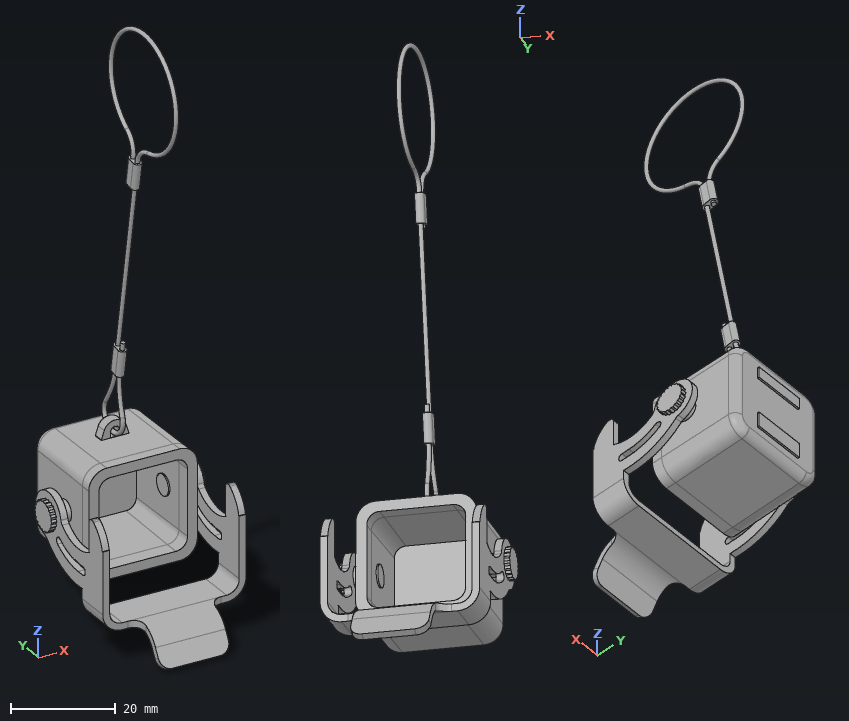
import cadquery as cq
import math


cap_side = 24.0
cap_corner = 3.9
cap_front = -8.9
cap_back = 12.5
rim_depth = 2.4
cap_draft = 0.5
cap_back_fillet = 1.9
mouth_side = 19.5
mouth_depth = 3.3
mouth_corner = 2.5
cavity_draft = 1.0
floor_thickness = 2.4
cap_top = cap_side / 2

bar_height = 0.4
bar_length = 11.4
bars = [(6.6, 2.8), (-6.2, 3.8)]

eye_y = 2.9
eye_thickness = 2.3
eye_foot = 3.0
eye_shoulder = 2.4
eye_shoulder_height = 1.9
eye_height = 3.5
eye_root = 0.6
eye_hole_radius = 1.0
eye_hole_height = 2.2

lever_width = 31.5
sheet = 1.5
bend_radius = 4.3
lever_bottom = -16.5
lever_front = -20.8
lever_ear_radius = 5.0
foot_back = -12.8
hook_back = -15.5
hook_top = 6.2
hook_tip_y = -17.0
hook_tip_fillet = 0.9
hook_nose = (-19.5, 3.8)
hook_shoulder = 0.1
arm_centre_y = -11.4
arm_centre_z = 7.0
arm_inner_radius = 9.1
arm_outer_radius = 17.1
arm_bottom = arm_centre_z - arm_outer_radius
foot_overlap = 3.8
arm_end_y = 2.5
arm_end_z = 1.3
ear_joints = [(-4.5, 1.1), (1.9, -3.8)]
joint_fillet = 1.5
slot_width = 1.8
slot_start_angle = 34
slot_straight = 1.8

tab_width = 15.5
tab_bend_radius = 7.1
tab_angle = 60
tab_straight = 4.7
tab_corner = 2.5
tab_flare = 2.5

pin_diameter = 4.5
head_radius = 3.3
flute_depth = 0.3
flute_count = 20
overall_width = 33.8
pin_reach = 0.4

cord_diameter = 1.0
cord_tilt = 9.9
cord_foot_y = 0.6
cord_foot_z = 32.5
strand_gap = 1.6
ferrule_length = 6.0
ferrule_width = 3.5
ferrule_depth = 1.9
lower_ferrule_s = -3.3
upper_ferrule_s = 39.7
upper_stub = 0.6
lower_stub = 1.6
ring_centre = (-9.0, 90.5)
ring_radius = 12.4
ring_exit_angles = (-60, -100)
loop_centre = (2.4, 16.2)
loop_radius = 3.5
loop_exit_angles = (33, 163)


def facing_back(y):
    """Plane across Y whose normal points to +Y."""
    return cq.Workplane(cq.Plane(origin=(0, y, 0), xDir=(1, 0, 0), normal=(0, 1, 0)))


def rounded_square(y, side, corner):
    sketch = cq.Sketch().rect(side, side).vertices().fillet(corner)
    return facing_back(y).placeSketch(sketch)


def make_cap():
    skirt_y = cap_front + rim_depth
    rim = rounded_square(cap_front, cap_side, cap_corner).extrude(rim_depth)
    skirt = rounded_square(skirt_y, cap_side, cap_corner).extrude(cap_back - skirt_y, taper=cap_draft)
    skirt = skirt.faces(">Y").edges().fillet(cap_back_fillet)
    mouth = rounded_square(cap_front, mouth_side, mouth_corner).extrude(mouth_depth)
    cavity_y = cap_front + mouth_depth
    cavity_depth = cap_back - floor_thickness - cavity_y
    cavity = rounded_square(cavity_y, mouth_side, mouth_corner).extrude(cavity_depth, taper=cavity_draft)
    cap = rim.union(skirt).cut(mouth).cut(cavity)
    for z, width in bars:
        bar = cq.Workplane().box(bar_length, 2 * bar_height, width).translate((0, cap_back, z))
        cap = cap.union(bar)
    return cap


def make_eye():
    eye_plane = cq.Workplane("XZ", origin=(0, eye_y + eye_thickness / 2, cap_top))
    plate = (
        eye_plane.moveTo(-eye_foot, -eye_root)
        .lineTo(-eye_foot, 0)
        .lineTo(-eye_shoulder, eye_shoulder_height)
        .threePointArc((0, eye_height), (eye_shoulder, eye_shoulder_height))
        .lineTo(eye_foot, 0)
        .lineTo(eye_foot, -eye_root)
        .close()
        .extrude(eye_thickness)
    )
    hole_shoulder = eye_hole_height - eye_hole_radius
    hole = (
        eye_plane.moveTo(-eye_hole_radius, 0)
        .lineTo(-eye_hole_radius, hole_shoulder)
        .threePointArc((0, eye_hole_height), (eye_hole_radius, hole_shoulder))
        .lineTo(eye_hole_radius, 0)
        .close()
        .extrude(eye_thickness)
    )
    return plate.cut(hole)


def across_x():
    """Sketch plane for side profiles that are extruded over the lever's full width."""
    return cq.Workplane("YZ", origin=(-lever_width / 2, 0, 0))


def arm_point(radius, angle):
    """Point (Y, Z) about the arm's centre; the angle runs from straight down towards +Y."""
    a = math.radians(angle)
    return (arm_centre_y + radius * math.sin(a), arm_centre_z - radius * math.cos(a))


def make_arm():
    """Part of a flat ring that joins the ear to the hook."""
    ring = across_x().center(arm_centre_y, arm_centre_z)
    ring = ring.circle(arm_outer_radius).circle(arm_inner_radius).extrude(lever_width)
    window = (
        across_x()
        .moveTo(lever_front, arm_bottom)
        .lineTo(arm_end_y, arm_bottom)
        .lineTo(arm_end_y, arm_end_z)
        .lineTo(lever_front, arm_end_z)
        .close()
        .extrude(lever_width)
    )
    return ring.intersect(window)


def make_hook():
    """Locking hook, with the foot below it that reaches down to the cross strip."""
    foot_top = arm_bottom + foot_overlap
    hook = (
        across_x()
        .moveTo(hook_back, foot_top)
        .lineTo(hook_back, hook_top)
        .lineTo(hook_tip_y, hook_top)
        .threePointArc(hook_nose, (lever_front, hook_shoulder))
        .lineTo(lever_front, lever_bottom)
        .lineTo(foot_back, lever_bottom)
        .lineTo(foot_back, foot_top)
        .close()
        .extrude(lever_width)
    )
    return hook.edges("|X and >Z").fillet(hook_tip_fillet)


def make_lever_side():
    ear = across_x().circle(lever_ear_radius).extrude(lever_width)
    side = ear.union(make_arm()).union(make_hook())
    for joint in ear_joints:
        corner = cq.selectors.NearestToPointSelector((0, *joint))
        side = side.edges(corner).fillet(joint_fillet)
    return side.cut(make_slot())


def make_slot():
    mid = (arm_inner_radius + arm_outer_radius) / 2
    inner = mid - slot_width / 2
    outer = mid + slot_width / 2
    a = slot_start_angle
    end_y = arm_centre_y - slot_straight
    tangent = math.radians(a)
    mid_start = arm_point(mid, a)
    start_cap = (
        mid_start[0] + slot_width / 2 * math.cos(tangent),
        mid_start[1] + slot_width / 2 * math.sin(tangent),
    )
    return (
        across_x()
        .moveTo(*arm_point(inner, a))
        .threePointArc(arm_point(inner, a / 2), arm_point(inner, 0))
        .lineTo(end_y, arm_centre_z - inner)
        .threePointArc((end_y - slot_width / 2, arm_centre_z - mid), (end_y, arm_centre_z - outer))
        .lineTo(*arm_point(outer, 0))
        .threePointArc(arm_point(outer, a / 2), arm_point(outer, a))
        .threePointArc(start_cap, arm_point(inner, a))
        .close()
        .extrude(lever_width)
    )


def channel_block(width, bottom, corner):
    """Block with rounded lower edges, as long and as high as the lever."""
    length = lever_ear_radius - lever_front
    height = hook_top - bottom
    centre = (0, lever_front + length / 2, bottom + height / 2)
    return cq.Workplane().box(width, length, height).translate(centre).edges("|Y and <Z").fillet(corner)


def make_channel():
    outside = channel_block(lever_width, lever_bottom, bend_radius)
    inside = channel_block(lever_width - 2 * sheet, lever_bottom + sheet, bend_radius - sheet)
    return outside.cut(inside)


def make_tab():
    """Sheet bent downwards, widening in a flare where it leaves the lever."""
    end_angle = math.radians(tab_angle)
    outer = tab_bend_radius
    inner = outer - sheet
    bend_z = lever_bottom - inner

    def bend(radius, angle):
        return (lever_front - radius * math.sin(angle), bend_z + radius * math.cos(angle))

    def tip(radius):
        y, z = bend(radius, end_angle)
        return (y - tab_straight * math.cos(end_angle), z - tab_straight * math.sin(end_angle))

    half = tab_width / 2
    root = half + tab_flare
    strip = (
        cq.Workplane("YZ", origin=(-root, 0, 0))
        .moveTo(*bend(outer, 0))
        .threePointArc(bend(outer, end_angle / 2), bend(outer, end_angle))
        .lineTo(*tip(outer))
        .lineTo(*tip(inner))
        .lineTo(*bend(inner, end_angle))
        .threePointArc(bend(inner, end_angle / 2), bend(inner, 0))
        .close()
        .extrude(2 * root)
    )
    tip_y = tip(inner)[0]
    tip_z = tip(inner)[1]
    front = tip(outer)[0]
    flare_end = lever_front - tab_flare
    sag = tab_flare * (1 - math.sqrt(0.5))
    plan = (
        cq.Workplane("XY", origin=(0, 0, tip_z))
        .moveTo(-root, lever_front)
        .threePointArc((-half - sag, lever_front - sag), (-half, flare_end))
        .lineTo(-half, front)
        .lineTo(half, front)
        .lineTo(half, flare_end)
        .threePointArc((half + sag, lever_front - sag), (root, lever_front))
        .close()
        .extrude(lever_bottom + sheet - tip_z)
    )
    tab = strip.intersect(plan)
    tip_middle = ((front + tip_y) / 2, (tip(outer)[1] + tip_z) / 2)
    for x in (-half, half):
        corner = cq.selectors.NearestToPointSelector((x, *tip_middle))
        tab = tab.edges(corner).fillet(tab_corner)
    return tab


def make_pin():
    """Pin on the +X side, from inside the cap wall to the fluted head."""
    start = mouth_side / 2 - pin_reach
    pin = cq.Workplane("YZ", origin=(start, 0, 0)).circle(pin_diameter / 2)
    pin = pin.extrude(lever_width / 2 - start)
    points = []
    for i in range(2 * flute_count):
        a = math.pi * i / flute_count
        r = head_radius - flute_depth * (i % 2)
        points.append((r * math.cos(a), r * math.sin(a)))
    head = cq.Workplane("YZ", origin=(lever_width / 2, 0, 0)).polyline(points).close()
    return pin.union(head.extrude((overall_width - lever_width) / 2))


def make_cover():
    lever = make_channel().intersect(make_lever_side()).union(make_tab())
    pin = make_pin()
    return make_cap().union(make_eye()).union(lever).union(pin).union(pin.mirror("YZ"))


def cord_point(s, side):
    """Point at distance s along the cord, moved sideways towards -Y."""
    a = math.radians(cord_tilt)
    y = cord_foot_y - s * math.sin(a) - side * math.cos(a)
    z = cord_foot_z + s * math.cos(a) - side * math.sin(a)
    return cq.Vector(0, y, z)


def circle_point(centre, radius, angle):
    a = math.radians(angle)
    return cq.Vector(0, centre[0] + radius * math.cos(a), centre[1] + radius * math.sin(a))


def circle_heading(angle):
    """Direction of travel for a growing angle."""
    a = math.radians(angle)
    return cq.Vector(0, -math.sin(a), math.cos(a))


def smooth_link(start, end, start_heading, end_heading):
    return cq.Edge.makeSpline([start, end], tangents=[start_heading, end_heading])


def make_wire(up):
    """One round wire: upper cut end, ring, long straight run, small loop, lower cut end."""
    half = ferrule_length / 2
    ring_start_angle, ring_end_angle = ring_exit_angles
    loop_start_angle, loop_end_angle = loop_exit_angles

    upper_cut_end = cord_point(upper_ferrule_s - half - upper_stub, -strand_gap)
    upper_left = cord_point(upper_ferrule_s + half, -strand_gap)
    upper_right = cord_point(upper_ferrule_s + half, 0)
    lower_left = cord_point(lower_ferrule_s - half, 0)
    lower_right = cord_point(lower_ferrule_s - half, strand_gap)
    lower_cut_end = cord_point(lower_ferrule_s + half + lower_stub, strand_gap)

    ring_start = circle_point(ring_centre, ring_radius, ring_start_angle)
    ring_top = circle_point(ring_centre, ring_radius, 90)
    ring_end = circle_point(ring_centre, ring_radius, ring_end_angle)
    loop_start = circle_point(loop_centre, loop_radius, loop_start_angle)
    loop_low = circle_point(loop_centre, loop_radius, -90)
    loop_end = circle_point(loop_centre, loop_radius, loop_end_angle)

    path = cq.Wire.assembleEdges([
        cq.Edge.makeLine(upper_cut_end, upper_left),
        smooth_link(upper_left, ring_start, up, circle_heading(ring_start_angle)),
        cq.Edge.makeThreePointArc(ring_start, ring_top, ring_end),
        smooth_link(ring_end, upper_right, circle_heading(ring_end_angle), -up),
        cq.Edge.makeLine(upper_right, lower_left),
        smooth_link(lower_left, loop_start, -up, -circle_heading(loop_start_angle)),
        cq.Edge.makeThreePointArc(loop_start, loop_low, loop_end),
        smooth_link(loop_end, lower_right, -circle_heading(loop_end_angle), up),
        cq.Edge.makeLine(lower_right, lower_cut_end),
    ])
    section = cq.Workplane(cq.Plane(origin=upper_cut_end, xDir=(1, 0, 0), normal=up))
    return section.circle(cord_diameter / 2).sweep(path)


def make_ferrule(middle_s, side, up):
    """Flat-sided sleeve around two strands of the wire."""
    foot = cord_point(middle_s - ferrule_length / 2, side)
    plane = cq.Plane(origin=foot, xDir=(1, 0, 0), normal=up)
    return cq.Workplane(plane).slot2D(ferrule_width, ferrule_depth, 90).extrude(ferrule_length)


def make_cord():
    up = cord_point(1.3, 0) - cord_point(0, 0)
    upper = make_ferrule(upper_ferrule_s, -strand_gap / 2, up)
    lower = make_ferrule(lower_ferrule_s, strand_gap / 2, up)
    return make_wire(up).union(upper).union(lower)


cover = make_cover()
cord = make_cord()
result = cq.Compound.makeCompound([cover.val(), cord.val()])